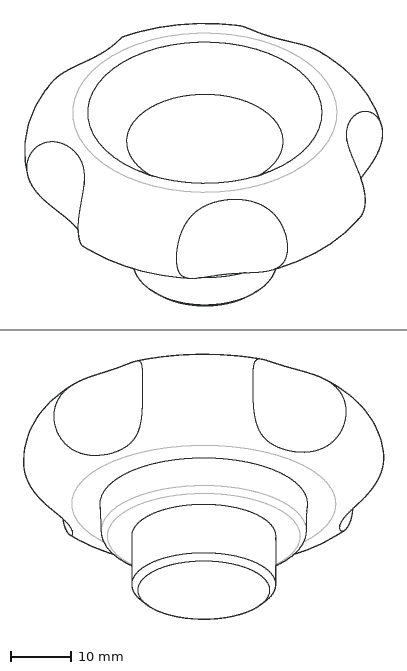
import cadquery as cq
import math

rim_radius = 30.0
rim_height = 16.0
edge_radius = rim_height / 2
flat_radius = rim_radius - edge_radius

collar_height = 6.0
collar_top_radius = 17.3
collar_bottom_radius = 17.05
collar_fillet = 1.0
hub_radius = 24.0 / 2
hub_height = 10.0
hub_chamfer = 1.0

dish_top_radius = 19.5
dish_floor_radius = 13.0
dish_depth = 6.0

scallop_count = 5
scallop_radius = 12.0
scallop_center_radius = 36.0
first_scallop_angle = -90.0

collar_bottom = hub_height
rim_bottom = collar_bottom + collar_height
rim_top = rim_bottom + rim_height


def make_rim():
    """Revolve the rim section, whose outer edge is a half circle."""
    return (
        cq.Workplane("XZ")
        .moveTo(0, rim_bottom)
        .lineTo(flat_radius, rim_bottom)
        .threePointArc((rim_radius, rim_bottom + edge_radius), (flat_radius, rim_top))
        .lineTo(0, rim_top)
        .close()
        .revolve(360, (0, 0), (0, 1))
    )


def make_cone(bottom_radius, top_radius, bottom, height):
    """Make an upright truncated cone that widens or narrows upward."""
    return cq.Workplane(cq.Solid.makeCone(bottom_radius, top_radius, height, cq.Vector(0, 0, bottom)))


def make_collar():
    collar = make_cone(collar_bottom_radius, collar_top_radius, collar_bottom, collar_height)
    return collar.faces("<Z").edges().fillet(collar_fillet)


def make_hub():
    hub = cq.Workplane("XY").circle(hub_radius).extrude(hub_height)
    return hub.faces("<Z").edges().chamfer(hub_chamfer)


def make_scallops():
    """Cylindrical cutters, evenly spaced and as tall as the rim."""
    step = 2 * math.pi / scallop_count
    start = math.radians(first_scallop_angle)
    angles = [start + i * step for i in range(scallop_count)]
    centers = [(scallop_center_radius * math.cos(a), scallop_center_radius * math.sin(a)) for a in angles]
    return (
        cq.Workplane("XY", origin=(0, 0, rim_bottom))
        .pushPoints(centers)
        .circle(scallop_radius)
        .extrude(rim_height)
    )


dish = make_cone(dish_floor_radius, dish_top_radius, rim_top - dish_depth, dish_depth)

result = make_rim().cut(make_scallops()).cut(dish).union(make_collar()).union(make_hub())